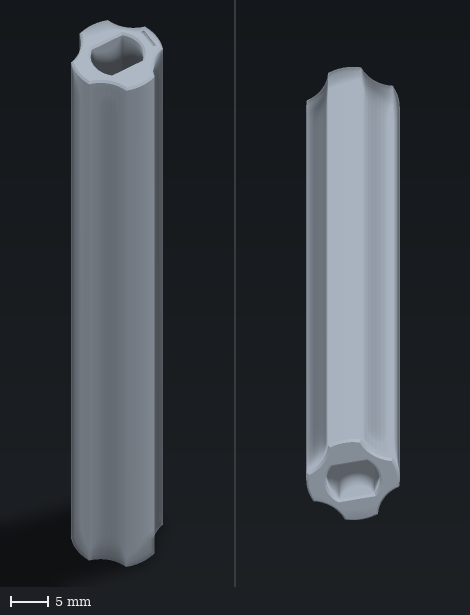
import cadquery as cq
import math

length = 100.0
outer_diameter = 12.5
lobe_width = 4.5
groove_arc_radius = 5.0
bore_diameter = 7.1
bore_across_flats = 5.2
end_chamfer = 0.3
mark_length = 3.0
mark_width = 0.4
mark_depth = 0.2
mark_offset = 5.0

outer_radius = outer_diameter / 2
lobe_count = 4
lobe_pitch = 360 / lobe_count
lobe_half_angle = math.degrees(math.asin(lobe_width / 2 / outer_radius))

groove_half_angle = math.radians(lobe_pitch / 2 - lobe_half_angle)
groove_half_chord = outer_radius * math.sin(groove_half_angle)
groove_sagitta = groove_arc_radius - math.sqrt(groove_arc_radius**2 - groove_half_chord**2)
groove_floor_radius = outer_radius * math.cos(groove_half_angle) - groove_sagitta


def polar(radius, degrees):
    angle = math.radians(degrees)
    return (radius * math.cos(angle), radius * math.sin(angle))


def lobed_bar():
    """Bar with a convex arc on each lobe and a concave arc between lobes."""
    outline = cq.Workplane("XY").moveTo(*polar(outer_radius, -lobe_half_angle))
    for lobe in range(lobe_count):
        middle = lobe * lobe_pitch
        lobe_end = middle + lobe_half_angle
        next_start = middle + lobe_pitch - lobe_half_angle
        outline = outline.threePointArc(polar(outer_radius, middle), polar(outer_radius, lobe_end))
        outline = outline.threePointArc(
            polar(groove_floor_radius, middle + lobe_pitch / 2), polar(outer_radius, next_start)
        )
    return outline.close().extrude(length)


def double_d_bore():
    """Through bore: a cylinder with two flats facing along X."""
    cylinder = cq.Workplane("XY").circle(bore_diameter / 2).extrude(length)
    flats = cq.Workplane("XY").rect(bore_across_flats, bore_diameter).extrude(length)
    return cylinder.intersect(flats)


def end_mark():
    """Shallow straight groove in the top end, on the +Y lobe."""
    return (
        cq.Workplane("XY", origin=(0, mark_offset, length))
        .rect(mark_length, mark_width)
        .extrude(-mark_depth)
    )


tube = lobed_bar().cut(double_d_bore())
tube = tube.faces("<Z or >Z").edges().chamfer(end_chamfer)
result = tube.cut(end_mark())